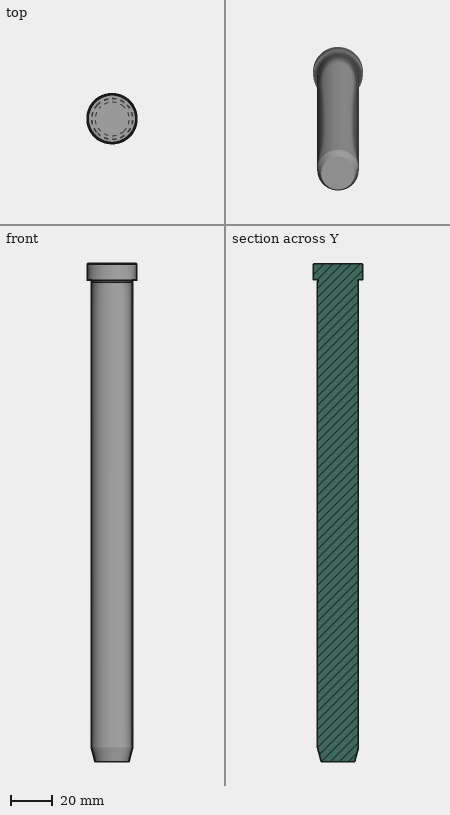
import cadquery as cq
import math

total_length = 240.0
head_diameter = 24.0
head_height = 8.0
head_chamfer = 0.5
shaft_diameter = 20.0
relief_width = 1.0
relief_depth = 0.3
tip_length = 7.0
tip_half_angle = 15.0

head_radius = head_diameter / 2
shaft_radius = shaft_diameter / 2
tip_end_radius = shaft_radius - tip_length * math.tan(math.radians(tip_half_angle))
head_bottom = total_length - head_height


def make_shaft():
    """Plain cylinder from the tip up to the underside of the head."""
    shaft_length = head_bottom - tip_length
    return cq.Workplane("XY").workplane(offset=tip_length).circle(shaft_radius).extrude(shaft_length)


def make_tip():
    """Conical lead-in, widening from the end face to the shaft."""
    cone = cq.Solid.makeCone(tip_end_radius, shaft_radius, tip_length)
    return cq.Workplane("XY").add(cone)


def make_head():
    """Cylindrical head with a chamfered top rim."""
    head = cq.Workplane("XY").workplane(offset=head_bottom).circle(head_radius).extrude(head_height)
    return head.faces(">Z").edges().chamfer(head_chamfer)


def make_relief_groove():
    """Ring to cut from the shaft: a shallow round-bottomed groove right under the head."""
    groove_bottom = head_bottom - relief_width
    groove_middle = head_bottom - relief_width / 2
    return (
        cq.Workplane("XZ")
        .moveTo(shaft_radius, groove_bottom)
        .threePointArc((shaft_radius - relief_depth, groove_middle), (shaft_radius, head_bottom))
        .close()
        .revolve(360, (0, 0, 0), (0, 1, 0))
    )


relieved_shaft = make_shaft().cut(make_relief_groove())
result = relieved_shaft.union(make_tip()).union(make_head())